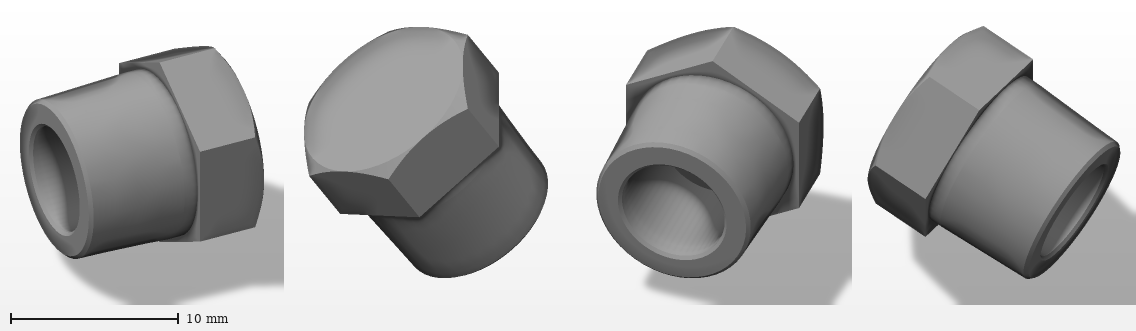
import cadquery as cq
import math

hex_corners = 12.7
hex_flats = hex_corners * math.cos(math.radians(30))
head_length = 4.25
crown_depth = 0.6

total_length = 11.25
collar_diameter = 10.29
collar_length = 0.85
tip_diameter = 9.82
tip_chamfer = 0.22

bore_diameter = 6.53
bore_chamfer = 0.19

back_y = total_length / 2
tip_y = -total_length / 2
shoulder_y = back_y - head_length


def revolve_profile(points):
    """Revolve a closed (radius, y) outline about the Y axis."""
    return cq.Workplane("XY").polyline(points).close().revolve(360, (0, 0, 0), (0, 1, 0))


def make_head():
    """Hexagon with corners at +Z and -Z, chamfered conically at the back."""
    corner_radius = hex_corners / 2
    hexagon = (
        cq.Workplane("XZ", origin=(0, back_y, 0))
        .transformed(rotate=(0, 0, 90))
        .polygon(6, hex_corners)
        .extrude(head_length)
    )
    crown = revolve_profile([
        (0, shoulder_y),
        (corner_radius, shoulder_y),
        (corner_radius, back_y - crown_depth),
        (hex_flats / 2, back_y),
        (0, back_y),
    ])
    return hexagon.intersect(crown)


def make_shank():
    """Cylindrical collar followed by a taper with a chamfered tip."""
    collar_radius = collar_diameter / 2
    tip_radius = tip_diameter / 2
    return revolve_profile([
        (0, shoulder_y),
        (collar_radius, shoulder_y),
        (collar_radius, shoulder_y - collar_length),
        (tip_radius, tip_y + tip_chamfer),
        (tip_radius - tip_chamfer, tip_y),
        (0, tip_y),
    ])


def make_bore():
    """Flat-bottomed bore with a chamfered mouth."""
    bore_radius = bore_diameter / 2
    return revolve_profile([
        (0, tip_y),
        (bore_radius + bore_chamfer, tip_y),
        (bore_radius, tip_y + bore_chamfer),
        (bore_radius, shoulder_y),
        (0, shoulder_y),
    ])


result = make_head().union(make_shank()).cut(make_bore())